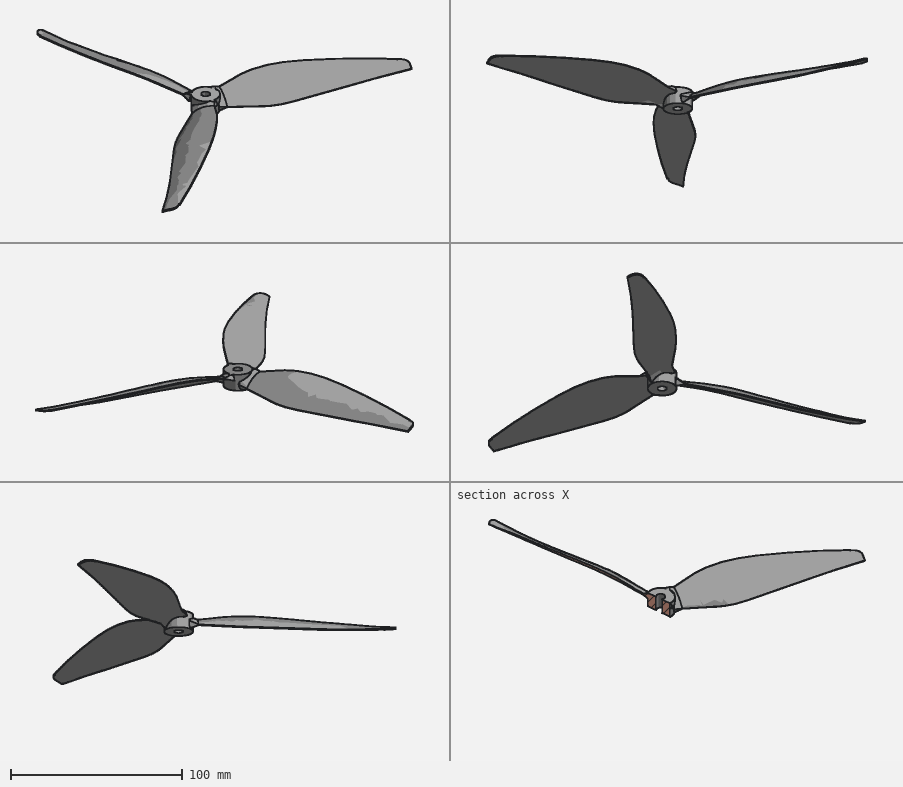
import cadquery as cq
import math

hub_radius = 8.5
hub_height = 10.2
bore_radius = 2.7

blade_count = 3
tip_reach = 126.8
tip_corner_radius = 5.5
tip_side_offset = 0.9
edge_thickness = 0.7
lower_camber = 0.06
upper_camber = 0.11

blade_sections = [
    (2.2, -5.3, 4.9, 8.0, 3.3),
    (11.0, -7.0, 6.2, 8.9, 2.5),
    (20.0, -9.5, 7.8, 10.9, 1.8),
    (31.0, -11.8, 10.0, 12.9, 0.7),
    (42.2, -12.9, 11.0, 13.5, 0.2),
    (55.5, -13.0, 10.2, 13.0, 0.5),
    (68.8, -12.2, 8.9, 12.0, 0.9),
    (82.1, -10.7, 7.5, 10.7, 1.0),
    (95.5, -8.9, 6.5, 9.3, 1.8),
    (108.8, -6.5, 5.8, 7.5, 2.5),
    (117.7, -4.7, 5.5, 6.5, 2.9),
    (tip_reach, -2.5, 5.5, 5.5, 3.5),
]

collar_reach = 11.0
collar_flare = 2.0
collar_widening = 0.2
collar_start = 5.8


def section_wire(distance, lead_x, trail_x, lead_z, trail_z, flare=0.0, widening=0.0):
    """Cambered section with thin square edges; flare thickens it and widening lengthens its chord."""
    chord = math.hypot(trail_x - lead_x, trail_z - lead_z)
    along = ((trail_x - lead_x) / chord, (trail_z - lead_z) / chord)
    middle = ((lead_x + trail_x) / 2, (lead_z + trail_z) / 2)
    half_chord = chord / 2 + widening
    half_edge = edge_thickness / 2 + flare

    def point(forward, up):
        x = middle[0] + forward * along[0] - up * along[1]
        z = middle[1] + forward * along[1] + up * along[0]
        return cq.Vector(x, distance, z)

    lead_top = point(-half_chord, half_edge)
    trail_top = point(half_chord, half_edge)
    trail_bottom = point(half_chord, -half_edge)
    lead_bottom = point(-half_chord, -half_edge)
    crown = point(0, half_edge + upper_camber * chord)
    hollow = point(0, lower_camber * chord - half_edge)
    return cq.Wire.assembleEdges([
        cq.Edge.makeThreePointArc(lead_top, crown, trail_top),
        cq.Edge.makeLine(trail_top, trail_bottom),
        cq.Edge.makeThreePointArc(trail_bottom, hollow, lead_bottom),
        cq.Edge.makeLine(lead_bottom, lead_top),
    ])


def make_tip_cutter():
    """Material outside the rounded leading corner of the tip."""
    tip_lead_x = blade_sections[-1][1]
    overshoot = 2.2
    side = tip_lead_x - tip_side_offset
    corner = cq.Workplane("XY").rect(
        tip_corner_radius + overshoot, tip_corner_radius + overshoot, centered=False
    ).extrude(2 * hub_height)
    corner = corner.translate((side - overshoot, tip_reach - tip_corner_radius, -hub_height / 2))
    disc = cq.Workplane("XY").circle(tip_corner_radius).extrude(2 * hub_height)
    disc = disc.translate((side + tip_corner_radius, tip_reach - tip_corner_radius, -hub_height / 2))
    return corner.cut(disc)


def make_blade():
    wires = [section_wire(*section) for section in blade_sections]
    blade = cq.Workplane(cq.Solid.makeLoft(wires))
    return blade.cut(make_tip_cutter())


def make_collar():
    root = blade_sections[1][1:]
    wires = [
        section_wire(collar_start, *root, flare=collar_flare, widening=collar_widening),
        section_wire(collar_reach, *root),
    ]
    collar = cq.Workplane(cq.Solid.makeLoft(wires, True))
    height_limit = cq.Workplane("XY").circle(2 * collar_reach).extrude(hub_height)
    return collar.intersect(height_limit)


hub = cq.Workplane("XY").circle(hub_radius).extrude(hub_height)
bladed_arm = make_blade().union(make_collar())

result = hub
for index in range(blade_count):
    result = result.union(bladed_arm.rotate((0, 0, 0), (0, 0, 1), index * 360 / blade_count))

bore = cq.Workplane("XY").circle(bore_radius).extrude(hub_height)
result = result.cut(bore)